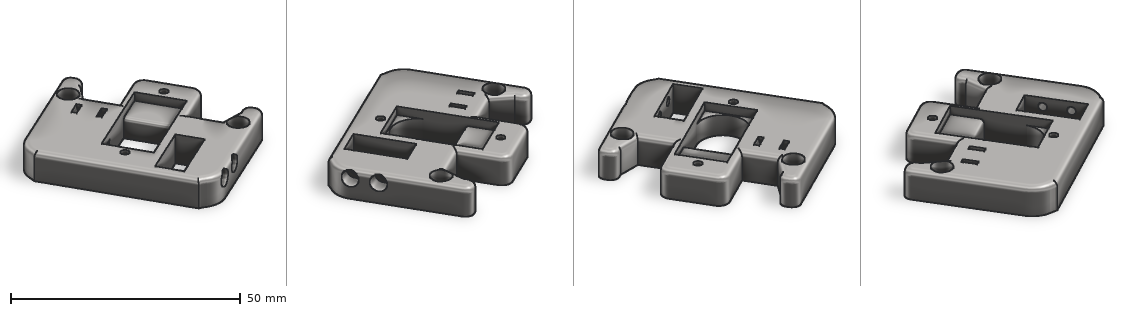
import cadquery as cq
import math

width = 45.95
depth = 37.9
height = 7.4
edge_radius = 1.5

half_width = width / 2
tab_half_width = 7.8
tab_corner_radius = 2.55
shoulder_y = 25.9
horn_tip_y = 33.95
horn_width = 4.7
horn_radius = 2.0
horn_slope_top_y = 31.0
horn_slope_foot_x = 15.9
corner_start_y = 6.05
corner_arc_middle = (21.6, 2.3)
corner_arc_end = (20.4, 1.2)
corner_facets = [(19.3, 0.4), (19.8, 0.8), corner_arc_end]
front_half_width = 18.85

pocket_width = 12.0
pocket_front_y = 7.95
pocket_back_y = 31.2
pocket_depth = 2.2
window_front_y = 8.3
window_back_y = 23.5
window_radius = 6.0
shelf_edge_radius = 1.0
pilot_diameter = 2.0
pilot_depth = 4.6
pilot_ys = (corner_start_y, 33.5)

mount_x = 19.5
mount_diameter = 3.7
mount_bore_diameter = 5.0
mount_bore_depth = 4.6

opening_left_x = 8.1
opening_right_x = 14.8
opening_front_y = 2.4
opening_back_y = 16.75
side_hole_ys = (6.15, 12.7)
side_hole_z = 5.05
side_hole_diameter = 2.0
side_bore_diameter = 4.0
side_bore_depth = 4.0

tie_x = -12.95
tie_front_y = 18.8
tie_length = 3.65
tie_outer_radius = 3.515
tie_inner_radius = 2.275


def right_side_points():
    """Outline corners of the right horn, from its tip to the shoulder's inner corner."""
    horn_inner_x = half_width - horn_width
    return [
        (horn_inner_x, horn_tip_y),
        (horn_inner_x, horn_slope_top_y),
        (horn_slope_foot_x, shoulder_y),
        (tab_half_width, shoulder_y),
        (tab_half_width, depth),
    ]


def mirrored(point):
    return (-point[0], point[1])


def make_body():
    right = right_side_points()
    left = [mirrored(point) for point in reversed(right)]
    body = (
        cq.Workplane("XY")
        .moveTo(-front_half_width, 0)
        .lineTo(front_half_width, 0)
    )
    for point in corner_facets:
        body = body.lineTo(*point)
    body = (
        body.threePointArc(corner_arc_middle, (half_width, corner_start_y))
        .lineTo(half_width, horn_tip_y)
    )
    for point in right + left:
        body = body.lineTo(*point)
    body = (
        body.lineTo(-half_width, horn_tip_y)
        .lineTo(-half_width, corner_start_y)
        .threePointArc(mirrored(corner_arc_middle), mirrored(corner_arc_end))
    )
    for point in reversed(corner_facets[:-1]):
        body = body.lineTo(*mirrored(point))
    body = (
        body.close()
        .extrude(height)
    )
    tab_box = cq.selectors.BoxSelector(
        (-tab_half_width - 0.45, depth - 0.45, -0.45), (tab_half_width + 0.45, depth + 0.45, height + 0.45)
    )
    body = body.edges("|Z").edges(tab_box).fillet(tab_corner_radius)
    horn_box = cq.selectors.BoxSelector(
        (-half_width - 0.45, horn_tip_y - 0.45, -0.45), (half_width + 0.45, horn_tip_y + 0.45, height + 0.45)
    )
    body = body.edges("|Z").edges(horn_box).fillet(horn_radius)
    return body.faces(">Z").edges().fillet(edge_radius)


def box_between(x_min, x_max, y_min, y_max, z_min, z_max):
    return cq.Workplane("XY").box(
        x_max - x_min, y_max - y_min, z_max - z_min, centered=False
    ).translate((x_min, y_min, z_min))


def make_pocket_cut():
    """Pocket plus a round-ended window, with the rear shelf edge rounded over."""
    half_pocket = pocket_width / 2
    shelf_z = height - pocket_depth
    pocket = box_between(-half_pocket, half_pocket, pocket_front_y, pocket_back_y, shelf_z, height)
    arc_center_y = window_front_y + window_radius
    arc_y = arc_center_y - math.sqrt(window_radius**2 - half_pocket**2)
    window = (
        cq.Workplane("XY")
        .moveTo(-half_pocket, window_back_y)
        .lineTo(-half_pocket, arc_y)
        .threePointArc((0, window_front_y), (half_pocket, arc_y))
        .lineTo(half_pocket, window_back_y)
        .close()
        .extrude(height)
    )
    round_over = box_between(
        -half_pocket, half_pocket,
        window_back_y, window_back_y + shelf_edge_radius,
        shelf_z - shelf_edge_radius, shelf_z,
    ).cut(
        cq.Workplane("YZ", origin=(-half_pocket, 0, 0))
        .center(window_back_y + shelf_edge_radius, shelf_z - shelf_edge_radius)
        .circle(shelf_edge_radius)
        .extrude(pocket_width)
    )
    return pocket.union(window).union(round_over)


def make_vertical_hole(x, y, diameter, hole_depth):
    return (
        cq.Workplane("XY", origin=(x, y, height - hole_depth))
        .circle(diameter / 2)
        .extrude(hole_depth)
    )


def make_side_hole(y):
    """Counterbored hole along X from the right side into the opening."""
    hole = (
        cq.Workplane("YZ", origin=(opening_right_x, y, side_hole_z))
        .circle(side_hole_diameter / 2)
        .extrude(half_width - opening_right_x)
    )
    bore = (
        cq.Workplane("YZ", origin=(half_width - side_bore_depth, y, side_hole_z))
        .circle(side_bore_diameter / 2)
        .extrude(side_bore_depth)
    )
    return hole.union(bore)


def make_tie_channel():
    """Ring centred on the top face, so its lower half joins two slots."""
    return (
        cq.Workplane("XZ", origin=(tie_x, tie_front_y, height))
        .circle(tie_outer_radius)
        .circle(tie_inner_radius)
        .extrude(-tie_length)
    )


result = make_body().cut(make_pocket_cut()).cut(make_tie_channel())
result = result.cut(
    box_between(opening_left_x, opening_right_x, opening_front_y, opening_back_y, 0, height)
)

for pilot_y in pilot_ys:
    result = result.cut(make_vertical_hole(0, pilot_y, pilot_diameter, pilot_depth))

for hole_x in (-mount_x, mount_x):
    result = result.cut(make_vertical_hole(hole_x, shoulder_y, mount_diameter, height))
    result = result.cut(make_vertical_hole(hole_x, shoulder_y, mount_bore_diameter, mount_bore_depth))

for hole_y in side_hole_ys:
    result = result.cut(make_side_hole(hole_y))